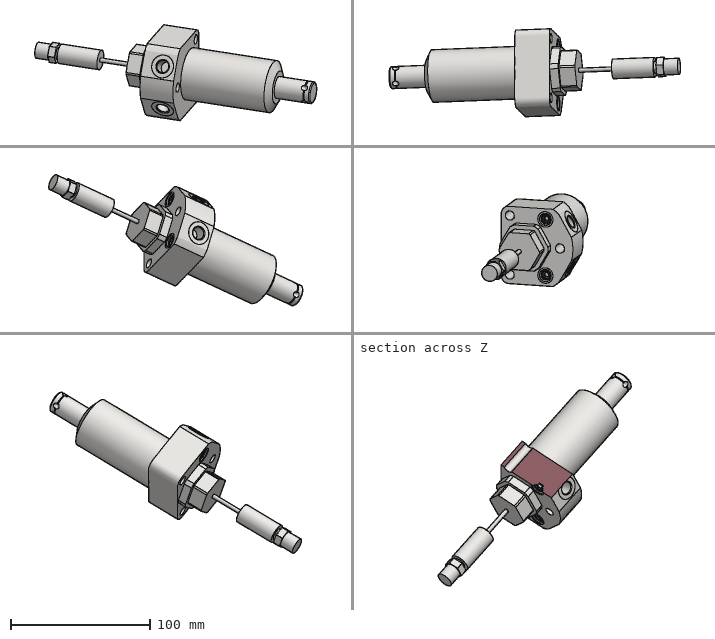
import cadquery as cq
import math


cap_end, cap_radius = 10.3, 6.0
nut_end, nut_across_flats, nut_corner_radius = 15.6, 12.9, 7.4
neck_end, neck_radius = 17.7, 4.5
sleeve_end, sleeve_radius = 48.1, 7.2
cable_end, cable_radius = 73.2, 1.58

small_hex_end, small_hex_across_flats, small_hex_corner_radius = 84.8, 27.0, 15.2
large_hex_end, large_hex_across_flats, large_hex_corner_radius = 91.2, 33.1, 18.1

flange_end = 116.5
flange_height = 57.0
flange_back = 19.0
flange_nose_radius = 34.8
flange_corner_radius = 5.7
flat_angle = 30
flat_distance = 33.5

mount_circle_radius = 25.1
mount_hole_radius = 3.4
mount_hole_count = 3
mount_first_angle = 60

port_x = 106.4
port_spot_radius, port_spot_depth = 8.2, 0.1
port_rim_radius = 5.0
port_bore_radius = 4.5
port_depth = 11.0

plug_y, plug_z = -14.1, 20.7
plug_spot_radius, plug_spot_depth = 5.7, 0.1
plug_rim_radius = 4.5
plug_bore_radius, plug_bore_depth = 3.5, 1.7
plug_seat_radius, plug_seat_depth = 2.7, 2.7
plug_socket_radius, plug_socket_depth = 1.7, 4.6

barrel_end, barrel_radius = 180.2, 19.0
shoulder_end, shoulder_radius = 184.0, 12.0
rod_end, rod_radius, rod_chamfer = 211.0, 8.0, 0.8

groove_x, groove_width, groove_depth = 206.4, 0.6, 0.32
dimple_depth = 2.3
dimple_count = 4
dimple_first_angle = 45

cut_overshoot = 1.0


def disc(start, end, radius):
    """Cylinder on the X axis between two x positions."""
    return cq.Workplane("YZ", origin=(start, 0, 0)).circle(radius).extrude(end - start)


def hexagon(start, end, across_flats, corner_radius):
    """Hexagon with flats facing +Z and -Z and its corners turned to a radius."""
    across_corners = across_flats / math.cos(math.radians(30))
    prism = cq.Workplane("YZ", origin=(start, 0, 0)).polygon(6, across_corners).extrude(end - start)
    return prism.intersect(disc(start, end, corner_radius))


def bore(mouth, outward, outline):
    """Cutter for a turned hole, from (radius, depth) points starting and ending on its own axis."""
    profile = [(radius, -depth) for radius, depth in outline]
    cutter = cq.Workplane("XZ").polyline(profile).close().revolve(360, (0, 0, 0), (0, 1, 0))
    placed = cutter.val().moved(cq.Plane(origin=mouth, normal=outward).location)
    return cq.Workplane(placed)


def flange():
    """Block with a round nose between two slanted flats, drilled for three bolts."""
    half_height = flange_height / 2
    half_flat_angle = math.degrees(math.acos(flat_distance / flange_nose_radius))

    def nose_point(angle):
        turn = math.radians(angle)
        return (-flange_nose_radius * math.cos(turn), flange_nose_radius * math.sin(turn))

    flat_start = flat_angle - half_flat_angle
    flat_stop = flat_angle + half_flat_angle
    top_angle = math.degrees(math.asin(half_height / flange_nose_radius))
    corner_angle = (flat_stop + top_angle) / 2
    block = (
        cq.Workplane("YZ", origin=(large_hex_end, 0, 0))
        .moveTo(flange_back, half_height)
        .lineTo(*nose_point(top_angle))
        .threePointArc(nose_point(corner_angle), nose_point(flat_stop))
        .lineTo(*nose_point(flat_start))
        .threePointArc(nose_point(0), nose_point(-flat_start))
        .lineTo(*nose_point(-flat_stop))
        .threePointArc(nose_point(-corner_angle), nose_point(-top_angle))
        .lineTo(flange_back, -half_height)
        .close()
        .extrude(flange_end - large_hex_end)
        .edges("|X and >Y")
        .fillet(flange_corner_radius)
    )
    mount_holes = (
        cq.Workplane("YZ", origin=(large_hex_end, 0, 0))
        .polarArray(mount_circle_radius, mount_first_angle, 360, mount_hole_count)
        .circle(mount_hole_radius)
        .extrude(flange_end - large_hex_end)
    )
    return block.cut(mount_holes)


def port(side):
    """Cutter for the spotfaced, chamfered port square to one slanted flat."""
    turn = math.radians(flat_angle)
    outward = (0, -math.cos(turn), side * math.sin(turn))
    mouth = (port_x, flat_distance * outward[1], flat_distance * outward[2])
    rim_depth = port_spot_depth + port_rim_radius - port_bore_radius
    return bore(mouth, outward, [
        (0, 0),
        (port_spot_radius, 0),
        (port_spot_radius, port_spot_depth),
        (port_rim_radius, port_spot_depth),
        (port_bore_radius, rim_depth),
        (port_bore_radius, port_depth),
        (0, port_depth),
    ])


def plug_recess(side):
    """Cutter for the stepped recess of one plug in the front face of the flange."""
    rim_depth = plug_spot_depth + plug_rim_radius - plug_bore_radius
    return bore((large_hex_end, plug_y, side * plug_z), (-1, 0, 0), [
        (0, 0),
        (plug_spot_radius, 0),
        (plug_spot_radius, plug_spot_depth),
        (plug_rim_radius, plug_spot_depth),
        (plug_bore_radius, rim_depth),
        (plug_bore_radius, plug_bore_depth),
        (plug_seat_radius, plug_bore_depth),
        (plug_seat_radius, plug_seat_depth),
        (plug_socket_radius, plug_seat_depth),
        (plug_socket_radius, plug_socket_depth),
        (0, plug_socket_depth),
    ])


def barrel():
    """Barrel and its conical shoulder."""
    return disc(flange_end, barrel_end, barrel_radius).union(
        cq.Workplane("XY")
        .moveTo(barrel_end, 0)
        .lineTo(barrel_end, barrel_radius)
        .lineTo(shoulder_end, shoulder_radius)
        .lineTo(shoulder_end, 0)
        .close()
        .revolve(360, (0, 0, 0), (1, 0, 0))
    )


def rod():
    """Chamfered rod with a fine groove and conical dimples near its tip."""
    body = disc(shoulder_end, rod_end, rod_radius).faces(">X").chamfer(rod_chamfer)
    cone_base_radius = dimple_depth + cut_overshoot
    cone = [(0, -cut_overshoot), (cone_base_radius, -cut_overshoot), (0, dimple_depth)]
    for index in range(dimple_count):
        turn = math.radians(dimple_first_angle + index * 360 / dimple_count)
        outward = (0, math.cos(turn), math.sin(turn))
        mouth = (groove_x, rod_radius * outward[1], rod_radius * outward[2])
        body = body.cut(bore(mouth, outward, cone))
    groove_start = groove_x - groove_width / 2
    groove_end = groove_x + groove_width / 2
    groove = disc(groove_start, groove_end, rod_radius + cut_overshoot).cut(
        disc(groove_start, groove_end, rod_radius - groove_depth)
    )
    return body.cut(groove)


result = (
    disc(0, cap_end, cap_radius)
    .union(hexagon(cap_end, nut_end, nut_across_flats, nut_corner_radius))
    .union(disc(nut_end, neck_end, neck_radius))
    .union(disc(neck_end, sleeve_end, sleeve_radius))
    .union(disc(sleeve_end, cable_end, cable_radius))
    .union(hexagon(cable_end, small_hex_end, small_hex_across_flats, small_hex_corner_radius))
    .union(hexagon(small_hex_end, large_hex_end, large_hex_across_flats, large_hex_corner_radius))
    .union(flange())
    .union(barrel())
    .union(rod())
)
for side in (-1, 1):
    result = result.cut(port(side))
    result = result.cut(plug_recess(side))